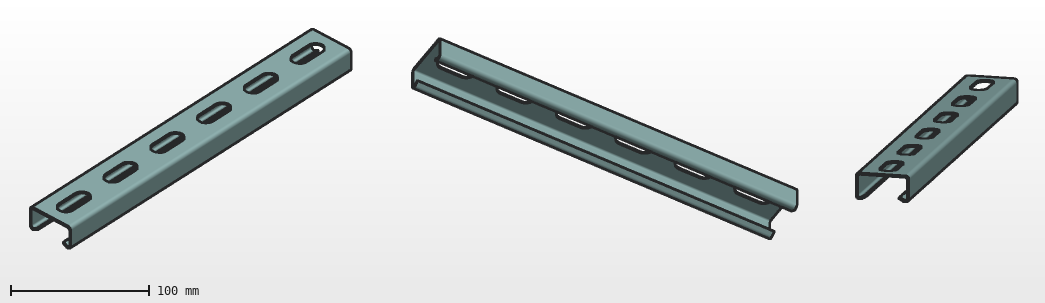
import cadquery as cq
import math

length = 300.0
width = 40.0
height = 19.8

thickness = 1.5
inner_radius = 1.5
outer_radius = inner_radius + thickness

lip_angle = math.radians(30)
lip_straight = 4.0

slot_count = 6
slot_pitch = length / slot_count
slot_length = 30.0
slot_width = 13.0


def arc_point(center, radius, angle):
    """Point on a circle, with the angle measured from +X."""
    return (
        center[0] + radius * math.cos(angle),
        center[1] + radius * math.sin(angle),
    )


def left_half():
    """Left half of the channel, with its bends running along Y."""
    left = -width / 2
    top = height / 2
    bend_x = left + outer_radius
    top_center = (bend_x, top - outer_radius)
    bottom_center = (bend_x, -top + outer_radius)

    up_left = math.radians(135)
    down_left = math.radians(225)
    lip_end = math.radians(270) + lip_angle

    lip_run = lip_straight * math.cos(lip_angle)
    lip_rise = lip_straight * math.sin(lip_angle)
    outer_lip_start = arc_point(bottom_center, outer_radius, lip_end)
    inner_lip_start = arc_point(bottom_center, inner_radius, lip_end)
    outer_tip = (outer_lip_start[0] + lip_run, outer_lip_start[1] + lip_rise)
    inner_tip = (inner_lip_start[0] + lip_run, inner_lip_start[1] + lip_rise)

    profile = (
        cq.Workplane("XZ")
        .moveTo(0, top)
        .lineTo(bend_x, top)
        .threePointArc(arc_point(top_center, outer_radius, up_left), (left, top_center[1]))
        .lineTo(left, bottom_center[1])
        .threePointArc(arc_point(bottom_center, outer_radius, down_left), outer_lip_start)
        .lineTo(*outer_tip)
        .lineTo(*inner_tip)
        .lineTo(*inner_lip_start)
        .threePointArc(
            arc_point(bottom_center, inner_radius, down_left),
            (left + thickness, bottom_center[1]),
        )
        .lineTo(left + thickness, top_center[1])
        .threePointArc(
            arc_point(top_center, inner_radius, up_left),
            (bend_x, top - thickness),
        )
        .lineTo(0, top - thickness)
        .close()
    )
    return profile.extrude(length / 2, both=True)


def slot_cutters():
    """Round-ended slots, lengthwise and evenly spaced along the web."""
    return (
        cq.Workplane("XY")
        .rarray(3, slot_pitch, 1, slot_count)
        .slot2D(slot_length, slot_width, 90)
        .extrude(height)
    )


half = left_half()
channel = half.union(half.mirror("YZ")).clean()
slotted = channel.cut(slot_cutters())
result = slotted.solids()